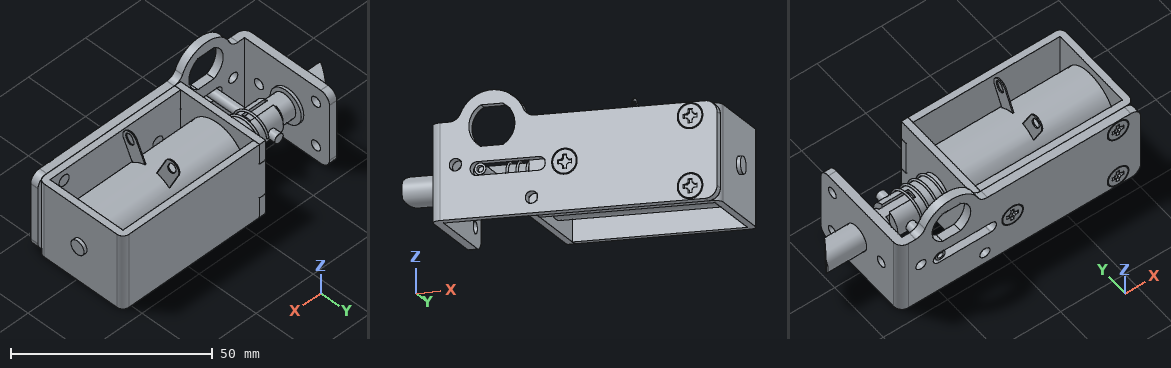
import cadquery as cq
import math


OVERALL_LENGTH = 88.0

BRACKET_LENGTH = 75.0
HEIGHT = 25.1
DEPTH = 32.5
SHEET = 2.6
CORNER_RADIUS = 3.1
EAR_X = 16.1
EAR_RADIUS = 9.0
EAR_Z = DEPTH - EAR_RADIUS
EAR_BLEND_RADIUS = 3.2
EAR_HOLE_RADIUS = 6.0
EAR_HOLE_HALF_FLAT = 5.3
SLOT_START_X = 12.2
SLOT_END_X = 28.3
SLOT_RADIUS = 1.8
SMALL_HOLE_RADIUS = 1.6
PLATE_HOLES = [(6.6, 14.0), (26.5, 4.05)]
FLANGE_PAIR_Y = 27.7
FLANGE_PAIR_OFFSET = 7.5
FLANGE_SINGLE_Y = 7.7

AXIS_Y = (SHEET + DEPTH) / 2
AXIS_Z = HEIGHT / 2

WALL = 2.1
FRAME_START_X = 27.1
FRAME_INNER_END_X = BRACKET_LENGTH - WALL
FRONT_PLATE_X = FRAME_START_X - WALL
TAB_HEIGHT = 11.6

COIL_RADIUS = 9.9
COIL_MIDDLE_X = (FRAME_START_X + FRAME_INNER_END_X) / 2
STUD_RADIUS = 2.3
STUD_PROJECTION = 1.1
LUG_X = 50.2
LUG_THICKNESS = 0.35
LUG_RADIUS = 2.5
LUG_REACH = 16.6
LUG_ROOT = COIL_RADIUS - LUG_RADIUS
LUG_TILT = 26.3
EYE_RADIUS = 1.2
EYE_LENGTH = 3.4

BOLT_RADIUS = 4.0
BOLT_TIP_X = BRACKET_LENGTH + STUD_PROJECTION - OVERALL_LENGTH
BEVEL_LENGTH = 4.75
TIP_LAND = 0.8
COLLAR_RADIUS = 5.5
COLLAR_WIDTH = 0.9
COLLAR_OFFSET = 0.4
BOLT_SHOULDER_X = 7.9
TONGUE_WIDTH = 3.0
TONGUE_END_X = 17.0

PLUNGER_START_X = 8.9
PLUNGER_RADIUS = 5.0
PIN_X = 12.9
PIN_RADIUS = 1.5
PIN_START_Y = 0.4
PIN_END_Y = 25.1
PIN_BORE_RADIUS = 0.9
PIN_BORE_DEPTH = 1.3

WIRE_RADIUS = 0.31
SPRING_CLEARANCE = 0.1
SPRING_RADIUS = PLUNGER_RADIUS + SPRING_CLEARANCE + WIRE_RADIUS
SPRING_START_X = 14.8
SPRING_PITCH = 2.6
SPRING_TURNS = 3.7

SCREW_SHANK_RADIUS = 1.8
SCREW_HEAD_RADIUS = 3.1
SCREW_HEAD_DEPTH = 1.3
COUNTERSINK_RADIUS = 3.3
REAR_SCREW_X = 67.9
FRONT_SCREW_X = 35.1
REAR_SCREW_OFFSET = 9.0
SCREW_POSITIONS = [
    (FRONT_SCREW_X, AXIS_Z),
    (REAR_SCREW_X, AXIS_Z - REAR_SCREW_OFFSET),
    (REAR_SCREW_X, AXIS_Z + REAR_SCREW_OFFSET),
]
CROSS_LENGTH = 3.6
CROSS_WIDTH = 1.0
CROSS_CORE_RADIUS = 1.1
CROSS_DEPTH = 0.9


def block(x_range, y_range, z_range):
    """Box between the given limits."""
    (x0, x1), (y0, y1), (z0, z1) = x_range, y_range, z_range
    return cq.Workplane("XY").box(x1 - x0, y1 - y0, z1 - z0, centered=False).translate((x0, y0, z0))


def rod_x(radius, x0, x1, y=AXIS_Y, z=AXIS_Z):
    """Cylinder along X."""
    return cq.Workplane("YZ", origin=(x0, y, z)).circle(radius).extrude(x1 - x0)


def rod_y(radius, x, z, y0, y1):
    """Cylinder along Y."""
    return cq.Workplane("XZ", origin=(x, y0, z)).circle(radius).extrude(y0 - y1)


def cone_y(outer_radius, x, z):
    """Countersink: a cone from the outer bracket face down to the screw shank."""
    cone = cq.Solid.makeCone(
        outer_radius, SCREW_SHANK_RADIUS, SCREW_HEAD_DEPTH, cq.Vector(x, 0, z), cq.Vector(0, 1, 0)
    )
    return cq.Workplane(cone)


def bracket_ear():
    """Round ear on the plate's upper edge, blended into that edge by an arc on each side."""
    blend_z = HEIGHT + EAR_BLEND_RADIUS
    rise = blend_z - EAR_Z
    blend_dx = math.sqrt((EAR_RADIUS + EAR_BLEND_RADIUS) ** 2 - rise**2)
    blend_angle = math.atan2(rise, blend_dx)
    mid_angle = (blend_angle + math.pi / 2) / 2
    joint_dx = EAR_RADIUS * math.cos(blend_angle)
    joint_z = EAR_Z + EAR_RADIUS * math.sin(blend_angle)
    mid_dx = blend_dx - EAR_BLEND_RADIUS * math.cos(mid_angle)
    mid_z = blend_z - EAR_BLEND_RADIUS * math.sin(mid_angle)
    root_z = HEIGHT - SHEET
    return (
        cq.Workplane("XZ")
        .moveTo(EAR_X - blend_dx, root_z)
        .lineTo(EAR_X - blend_dx, HEIGHT)
        .threePointArc((EAR_X - mid_dx, mid_z), (EAR_X - joint_dx, joint_z))
        .threePointArc((EAR_X, DEPTH), (EAR_X + joint_dx, joint_z))
        .threePointArc((EAR_X + mid_dx, mid_z), (EAR_X + blend_dx, HEIGHT))
        .lineTo(EAR_X + blend_dx, root_z)
        .close()
        .extrude(-SHEET)
    )


def ear_hole():
    """Round hole with a flat above and below."""
    round_hole = rod_y(EAR_HOLE_RADIUS, EAR_X, EAR_Z, 0, SHEET)
    flats = block(
        (EAR_X - EAR_HOLE_RADIUS, EAR_X + EAR_HOLE_RADIUS),
        (0, SHEET),
        (EAR_Z - EAR_HOLE_HALF_FLAT, EAR_Z + EAR_HOLE_HALF_FLAT),
    )
    return round_hole.intersect(flats)


def make_bracket():
    plate = block((0, BRACKET_LENGTH), (0, SHEET), (0, HEIGHT))
    plate = plate.edges("|Y and >X").fillet(CORNER_RADIUS)
    flange = block((0, SHEET), (0, DEPTH), (0, HEIGHT))
    flange = flange.edges("|X and >Y").fillet(CORNER_RADIUS)
    bracket = plate.union(flange)
    bend_edge = cq.selectors.NearestToPointSelector((0, 0, AXIS_Z))
    bracket = bracket.edges(bend_edge).fillet(SHEET)
    bracket = bracket.union(bracket_ear()).cut(ear_hole())

    pin_slot = (
        cq.Workplane("XZ", origin=((SLOT_START_X + SLOT_END_X) / 2, 0, AXIS_Z))
        .slot2D(SLOT_END_X - SLOT_START_X + 2 * SLOT_RADIUS, 2 * SLOT_RADIUS)
        .extrude(-SHEET)
    )
    bracket = bracket.cut(pin_slot)
    for x, z in PLATE_HOLES:
        bracket = bracket.cut(rod_y(SMALL_HOLE_RADIUS, x, z, 0, SHEET))

    flange_holes = [
        (FLANGE_PAIR_Y, AXIS_Z - FLANGE_PAIR_OFFSET),
        (FLANGE_PAIR_Y, AXIS_Z + FLANGE_PAIR_OFFSET),
        (FLANGE_SINGLE_Y, AXIS_Z),
    ]
    for y, z in flange_holes:
        bracket = bracket.cut(rod_x(SMALL_HOLE_RADIUS, 0, SHEET, y, z))
    bracket = bracket.cut(rod_x(BOLT_RADIUS, 0, SHEET))

    for x, z in SCREW_POSITIONS:
        bracket = bracket.cut(rod_y(SCREW_SHANK_RADIUS, x, z, 0, SHEET))
        bracket = bracket.cut(cone_y(COUNTERSINK_RADIUS, x, z))
    return bracket


def frame_tabs():
    """Tab on the front end of each frame side wall, filling a notch in the front plate."""
    x_range = (FRONT_PLATE_X, FRAME_START_X)
    z_range = (AXIS_Z - TAB_HEIGHT / 2, AXIS_Z + TAB_HEIGHT / 2)
    near_tab = block(x_range, (SHEET, SHEET + WALL), z_range)
    far_tab = block(x_range, (DEPTH - WALL, DEPTH), z_range)
    return near_tab.union(far_tab)


def make_frame():
    """U-shaped strip, open towards the front plate."""
    frame = block((FRAME_START_X, BRACKET_LENGTH), (SHEET, DEPTH), (0, HEIGHT))
    frame = frame.edges("|Z and >X").fillet(WALL)
    inside = block((FRAME_START_X, FRAME_INNER_END_X), (SHEET + WALL, DEPTH - WALL), (0, HEIGHT))
    frame = frame.cut(inside).union(frame_tabs())
    frame = frame.cut(rod_x(STUD_RADIUS, FRAME_INNER_END_X, BRACKET_LENGTH))
    for x, z in SCREW_POSITIONS:
        frame = frame.cut(rod_y(SCREW_SHANK_RADIUS, x, z, SHEET, SHEET + WALL))
    return frame


def make_front_plate():
    plate = block((FRONT_PLATE_X, FRAME_START_X), (SHEET, DEPTH), (0, HEIGHT))
    plate = plate.cut(frame_tabs())
    return plate.cut(rod_x(PLUNGER_RADIUS, FRONT_PLATE_X, FRAME_START_X))


def terminal_lug(tilt):
    """Flat lug with a rounded end and an oblong eye, leaning by `tilt` degrees about the coil axis."""
    middle = cq.Workplane("YZ", origin=(LUG_X - LUG_THICKNESS / 2, AXIS_Y, AXIS_Z))
    shank_length = LUG_REACH - LUG_ROOT
    shank_middle = LUG_ROOT + shank_length / 2
    lug = middle.center(0, shank_middle).rect(2 * LUG_RADIUS, shank_length).extrude(LUG_THICKNESS)
    lug = lug.union(middle.center(0, LUG_REACH).circle(LUG_RADIUS).extrude(LUG_THICKNESS))
    eye = middle.center(0, LUG_REACH).slot2D(EYE_LENGTH, 2 * EYE_RADIUS, 90).extrude(LUG_THICKNESS)
    lug = lug.cut(eye)
    return lug.rotate((0, AXIS_Y, AXIS_Z), (1, AXIS_Y, AXIS_Z), tilt)


def make_coil():
    """Winding with its two terminal lugs, rear mounting stud and plunger bore."""
    coil = rod_x(COIL_RADIUS, FRAME_START_X, FRAME_INNER_END_X)
    coil = coil.union(rod_x(STUD_RADIUS, FRAME_INNER_END_X, BRACKET_LENGTH + STUD_PROJECTION))
    for tilt in (-LUG_TILT, LUG_TILT):
        coil = coil.union(terminal_lug(tilt))
    return coil.cut(rod_x(PLUNGER_RADIUS, FRAME_START_X, COIL_MIDDLE_X))


def tongue_slab(radius, x0):
    """Upright slab as thick as the bolt tongue, ending where the tongue ends."""
    return block(
        (x0, TONGUE_END_X),
        (AXIS_Y - TONGUE_WIDTH / 2, AXIS_Y + TONGUE_WIDTH / 2),
        (AXIS_Z - radius, AXIS_Z + radius),
    )


def make_bolt():
    """Bevelled bolt with a stop collar and a flat tongue at the back."""
    bolt = rod_x(BOLT_RADIUS, BOLT_TIP_X, BOLT_SHOULDER_X)
    bevel = (
        cq.Workplane("XY")
        .moveTo(BOLT_TIP_X, AXIS_Y - BOLT_RADIUS + TIP_LAND)
        .lineTo(BOLT_TIP_X + BEVEL_LENGTH, AXIS_Y + BOLT_RADIUS)
        .lineTo(BOLT_TIP_X, AXIS_Y + BOLT_RADIUS)
        .close()
        .extrude(HEIGHT)
    )
    bolt = bolt.cut(bevel)
    collar = rod_x(COLLAR_RADIUS, SHEET, SHEET + COLLAR_WIDTH, AXIS_Y + COLLAR_OFFSET)
    bolt = bolt.union(collar)
    tongue = rod_x(BOLT_RADIUS, BOLT_SHOULDER_X, TONGUE_END_X)
    tongue = tongue.intersect(tongue_slab(BOLT_RADIUS, BOLT_SHOULDER_X))
    bolt = bolt.union(tongue)
    return bolt.cut(rod_y(PIN_RADIUS, PIN_X, AXIS_Z, PIN_START_Y, PIN_END_Y))


def make_plunger():
    """Plunger forked around the bolt tongue, with the cross pin that carries the bolt."""
    plunger = rod_x(PLUNGER_RADIUS, PLUNGER_START_X, COIL_MIDDLE_X)
    plunger = plunger.cut(tongue_slab(PLUNGER_RADIUS, PLUNGER_START_X))
    plunger = plunger.union(rod_y(PIN_RADIUS, PIN_X, AXIS_Z, PIN_START_Y, PIN_END_Y))
    return plunger.cut(rod_y(PIN_BORE_RADIUS, PIN_X, AXIS_Z, PIN_START_Y, PIN_START_Y + PIN_BORE_DEPTH))


def make_spring():
    """Right-handed round-wire helix around the plunger, starting on its +Y side."""
    path = cq.Wire.makeHelix(SPRING_PITCH, SPRING_PITCH * SPRING_TURNS, SPRING_RADIUS)
    wire_section = cq.Workplane("XZ", origin=(SPRING_RADIUS, 0, 0)).circle(WIRE_RADIUS)
    spring = wire_section.sweep(cq.Workplane(path), isFrenet=True)
    spring = spring.rotate((0, 0, 0), (1, 1, 1), 120)
    return spring.translate((SPRING_START_X, AXIS_Y, AXIS_Z))


def make_screw(x, z):
    """Countersunk cross-recess screw, flush with the bracket and with the frame's inner face."""
    screw = cone_y(SCREW_HEAD_RADIUS, x, z)
    screw = screw.union(rod_y(SCREW_SHANK_RADIUS, x, z, SCREW_HEAD_DEPTH, SHEET + WALL))
    face = cq.Workplane("XZ", origin=(x, 0, z))
    recess = face.circle(CROSS_CORE_RADIUS).extrude(-CROSS_DEPTH)
    recess = recess.union(face.rect(CROSS_LENGTH, CROSS_WIDTH).extrude(-CROSS_DEPTH))
    recess = recess.union(face.rect(CROSS_WIDTH, CROSS_LENGTH).extrude(-CROSS_DEPTH))
    return screw.cut(recess)


bracket = make_bracket()
frame = make_frame()
front_plate = make_front_plate()
coil = make_coil()
bolt = make_bolt()
plunger = make_plunger()
spring = make_spring()
screws = [make_screw(x, z) for x, z in SCREW_POSITIONS]

result = cq.Compound.makeCompound(
    [
        bracket.val(),
        frame.val(),
        front_plate.val(),
        coil.val(),
        bolt.val(),
        plunger.val(),
        spring.val(),
        *[screw.val() for screw in screws],
    ]
)